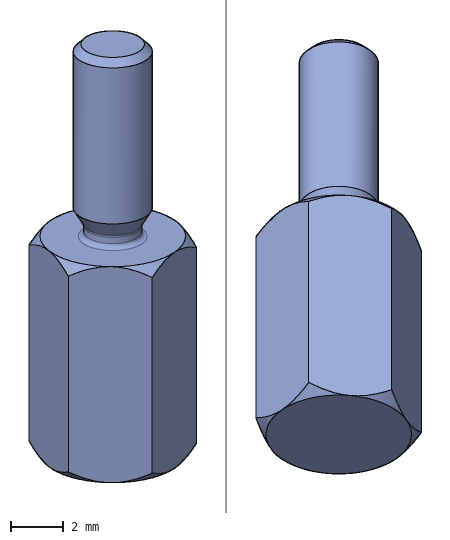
import cadquery as cq
import math

across_flats = 5.5
across_corners = across_flats / math.cos(math.radians(30))
hex_length = 9.0
corner_chamfer = (across_corners - across_flats) / 2

stud_radius = 3.0 / 2
stud_length = 8.0
tip_chamfer = 0.3

undercut_radius = 2.2 / 2
undercut_width = 1.2
undercut_fillet = 0.2
runout_angle = math.radians(30)


def make_hex_body():
    """Hexagonal prism with its corners turned off at both ends."""
    prism = cq.Workplane("XY").polygon(6, across_corners).extrude(hex_length)
    turned_blank = (
        cq.Workplane("XY")
        .circle(across_corners / 2)
        .extrude(hex_length)
        .faces("<Z or >Z")
        .chamfer(corner_chamfer)
    )
    return prism.intersect(turned_blank)


def make_stud():
    """Revolved stud: filleted undercut, conical run-out, plain shank, chamfered tip."""
    stud_top = hex_length + stud_length
    shank_start = hex_length + undercut_width
    fillet_center_radius = undercut_radius + undercut_fillet

    lower_fillet_top = hex_length + undercut_fillet
    lower_mid_offset = undercut_fillet * math.sin(math.radians(45))
    lower_fillet_mid = (
        fillet_center_radius - lower_mid_offset,
        lower_fillet_top - lower_mid_offset,
    )

    cone_start_radius = fillet_center_radius - undercut_fillet * math.cos(runout_angle)
    cone_height = (stud_radius - cone_start_radius) / math.tan(runout_angle)
    cone_start = shank_start - cone_height
    upper_fillet_start = cone_start - undercut_fillet * math.sin(runout_angle)
    upper_fillet_mid = (
        fillet_center_radius - undercut_fillet * math.cos(runout_angle / 2),
        upper_fillet_start + undercut_fillet * math.sin(runout_angle / 2),
    )

    profile = (
        cq.Workplane("XZ")
        .moveTo(0, hex_length)
        .lineTo(fillet_center_radius, hex_length)
        .threePointArc(lower_fillet_mid, (undercut_radius, lower_fillet_top))
        .lineTo(undercut_radius, upper_fillet_start)
        .threePointArc(upper_fillet_mid, (cone_start_radius, cone_start))
        .lineTo(stud_radius, shank_start)
        .lineTo(stud_radius, stud_top - tip_chamfer)
        .lineTo(stud_radius - tip_chamfer, stud_top)
        .lineTo(0, stud_top)
        .close()
    )
    return profile.revolve(360, (0, 0, 0), (0, 1, 0))


result = make_hex_body().union(make_stud())